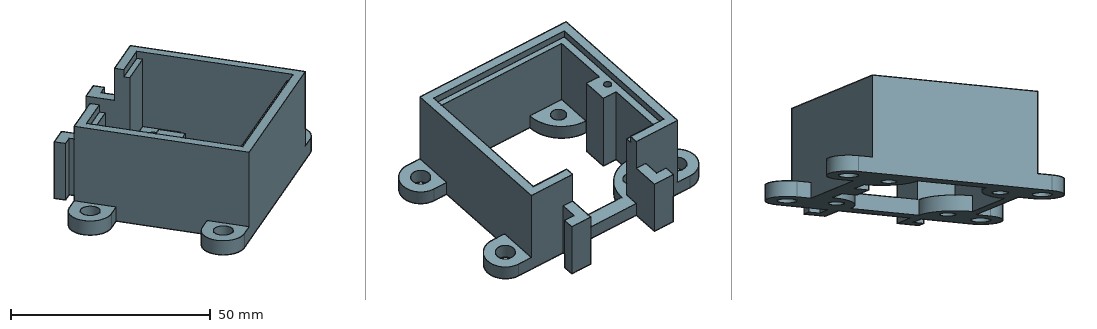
import cadquery as cq

body_side = 46.0
body_height = 25.0
overall_length = 65.0

rim_wall = 2.5
side_wall = 4.0
front_wall = 4.5
ledge_depth = 2.0

base_thickness = 4.0
lug_radius = 5.5
lug_hole_diameter = 5.0
pad_radius = 10.0
pad_hole_offset = 4.0
pad_hole_diameter = 4.0

block_width = 7.0
block_projection = 4.0
screw_hole_diameter = 2.0
screw_hole_depth = 10.0

opening_width = 20.0
arm_thickness = 3.0
arm_reach = 7.5
hook_length = 6.0
arm_height = 16.0

half_body = body_side / 2
ledge_z = body_height - ledge_depth
cavity_x = half_body - side_wall
cavity_front = front_wall - half_body
cavity_back = half_body - rim_wall


def box(x0, x1, y0, y1, z0, z1):
    """Axis-aligned box given by its limits."""
    return cq.Workplane("XY").box(x1 - x0, y1 - y0, z1 - z0, centered=False).translate((x0, y0, z0))


def cylinder(x, y, diameter, bottom, height):
    """Upright cylinder."""
    return cq.Workplane("XY", origin=(x, y, bottom)).circle(diameter / 2).extrude(height)


def make_frame():
    """Square wall with a lid recess stepping out near the top."""
    outer = box(-half_body, half_body, -half_body, half_body, 0, body_height)
    cavity = box(-cavity_x, cavity_x, cavity_front, cavity_back, 0, body_height)
    recess = box(-cavity_back, cavity_back, -cavity_back, cavity_back, ledge_z, body_height)
    return outer.cut(cavity).cut(recess)


def make_lug(x_side, y_side):
    """Round-ended mounting lug with its hole, outside a Y wall."""
    x = x_side * (half_body - lug_radius)
    y = y_side * (overall_length / 2 - lug_radius)
    wall_y = y_side * half_body
    neck = box(x - lug_radius, x + lug_radius, min(y, wall_y), max(y, wall_y), 0, base_thickness)
    end = cylinder(x, y, 2 * lug_radius, 0, base_thickness)
    end = end.cut(box(-half_body, half_body, -half_body, half_body, 0, base_thickness))
    return neck.union(end).cut(cylinder(x, y, lug_hole_diameter, 0, base_thickness))


def make_pad(x_side, y_side):
    """Quarter-round pad with its hole, in a corner of the cavity."""
    x = x_side * cavity_x
    y = cavity_back if y_side > 0 else cavity_front
    pad = cylinder(x, y, 2 * pad_radius, 0, base_thickness)
    pad = pad.intersect(box(-cavity_x, cavity_x, cavity_front, cavity_back, 0, base_thickness))
    hole_x = x - x_side * pad_hole_offset
    hole_y = y - y_side * pad_hole_offset
    return pad.cut(cylinder(hole_x, hole_y, pad_hole_diameter, 0, base_thickness))


def make_arm():
    """L-shaped arm on the +Y side of the opening, hooked away from it."""
    tip_x = -half_body - arm_reach
    y0 = opening_width / 2
    shank = box(tip_x, -half_body, y0, y0 + arm_thickness, 0, arm_height)
    hook = box(tip_x, tip_x + arm_thickness, y0, y0 + hook_length, 0, arm_height)
    return shank.union(hook)


result = make_frame()

result = result.cut(
    box(-half_body, -cavity_x, -opening_width / 2, opening_width / 2, base_thickness, body_height)
)

for x_side in (-1, 1):
    for y_side in (-1, 1):
        result = result.union(make_lug(x_side, y_side))
        result = result.union(make_pad(x_side, y_side))

arm = make_arm()
result = result.union(arm).union(arm.mirror("XZ"))

result = result.union(
    box(-block_width / 2, block_width / 2, cavity_front, cavity_front + block_projection, 0, ledge_z)
)
result = result.cut(
    cylinder(0, cavity_front, screw_hole_diameter, ledge_z - screw_hole_depth, screw_hole_depth)
)